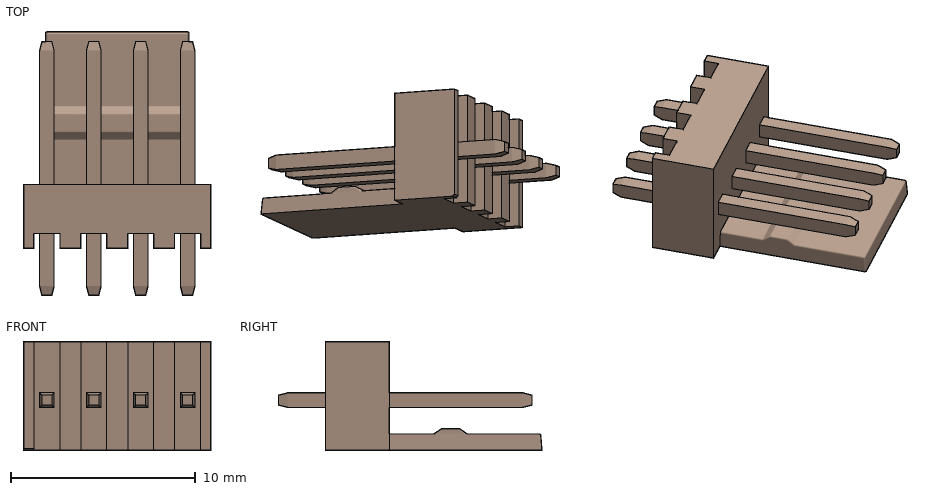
import cadquery as cq
import math


pin_count = 4
pitch = 2.54
pin_size = 0.8
pin_tip_size = 0.54
pin_tip_length = 0.5
pin_height = 2.73
pin_front_reach = 2.54
pin_end_setback = 0.54

total_length = 14.28
housing_width = 10.15
housing_depth = 3.47
housing_height = 5.9
slot_width = 1.4
slot_depth = 0.8
mark_chamfer = 0.1

tab_width = 7.8
tab_height = 0.9
tab_draft = 4.5
tab_overlap = 0.29
edge_radius = 0.1
bump_height = 0.29
bump_rear_gap = 4.05
bump_front_gap = 5.85
bump_ramp = 0.41

housing_front = pin_front_reach
housing_rear = housing_front + housing_depth
bump_rear = total_length - bump_rear_gap
bump_front = total_length - bump_front_gap
draft_inset = tab_height * math.tan(math.radians(tab_draft))
bump_width = tab_width - 2 * draft_inset
tolerance = 0.01
pin_xs = [(i - (pin_count - 1) / 2) * pitch for i in range(pin_count)]


def make_housing():
    """Block with a full-height slot in its front face at each pin."""
    block = cq.Workplane("XY").box(
        housing_width, housing_depth, housing_height, centered=(True, False, False)
    ).translate((0, housing_front, 0))
    for x in pin_xs:
        slot = cq.Workplane("XY").box(
            slot_width, slot_depth, housing_height, centered=(True, False, False)
        )
        block = block.cut(slot.translate((x, housing_front, 0)))
    first_rib_edge = cq.selectors.NearestToPointSelector((-housing_width / 2, housing_front, 0))
    return block.edges("|X").edges(first_rib_edge).chamfer(mark_chamfer)


def make_pin(x):
    """Square pin along Y with a pyramidal taper at both ends."""
    def section(y, size):
        return cq.Workplane("XZ", origin=(x, y, pin_height)).rect(size, size)

    rear_end = total_length - pin_end_setback
    shank_length = rear_end - 2 * pin_tip_length
    shank = section(pin_tip_length, pin_size).extrude(-shank_length)
    front_tip = (
        section(pin_tip_length, pin_size)
        .workplane(offset=pin_tip_length).rect(pin_tip_size, pin_tip_size).loft(ruled=True)
    )
    rear_tip = (
        section(rear_end - pin_tip_length, pin_size)
        .workplane(offset=-pin_tip_length).rect(pin_tip_size, pin_tip_size).loft(ruled=True)
    )
    return shank.union(front_tip).union(rear_tip)


def make_plate():
    """Drafted tab plate with rounded upright corners at its free end."""
    length = total_length - housing_rear + tab_overlap
    plate = (
        cq.Workplane("XY")
        .center(0, total_length - length / 2)
        .rect(tab_width, length)
        .extrude(tab_height, taper=tab_draft)
    )
    free_end_corners = cq.selectors.BoxSelector(
        (-tab_width, total_length - draft_inset, tolerance),
        (tab_width, total_length, tab_height - tolerance),
    )
    return plate.edges(free_end_corners).fillet(edge_radius)


def make_bump():
    """Trapezoidal ridge as wide as the top of the plate."""
    top = tab_height + bump_height
    return (
        cq.Workplane("YZ", origin=(-bump_width / 2, 0, 0))
        .moveTo(bump_front, tab_height)
        .lineTo(bump_front + bump_ramp, top)
        .lineTo(bump_rear - bump_ramp, top)
        .lineTo(bump_rear, tab_height)
        .close()
        .extrude(bump_width)
    )


def make_tab():
    """Plate and bump joined, with the upper rim and the ramp bends rounded."""
    tab = make_plate().union(make_bump())
    upper_edges = cq.selectors.BoxSelector(
        (-tab_width, housing_rear, tab_height - tolerance),
        (tab_width, total_length, tab_height + bump_height + tolerance),
    )
    bump_middle = (bump_front + bump_rear) / 2
    bump_seams = cq.selectors.BoxSelector(
        (-tab_width, bump_middle - tolerance, tab_height - tolerance),
        (tab_width, bump_middle + tolerance, tab_height + tolerance),
    )
    return tab.edges(upper_edges - bump_seams).fillet(edge_radius)


result = make_housing().union(make_tab())
for pin_x in pin_xs:
    result = result.union(make_pin(pin_x))